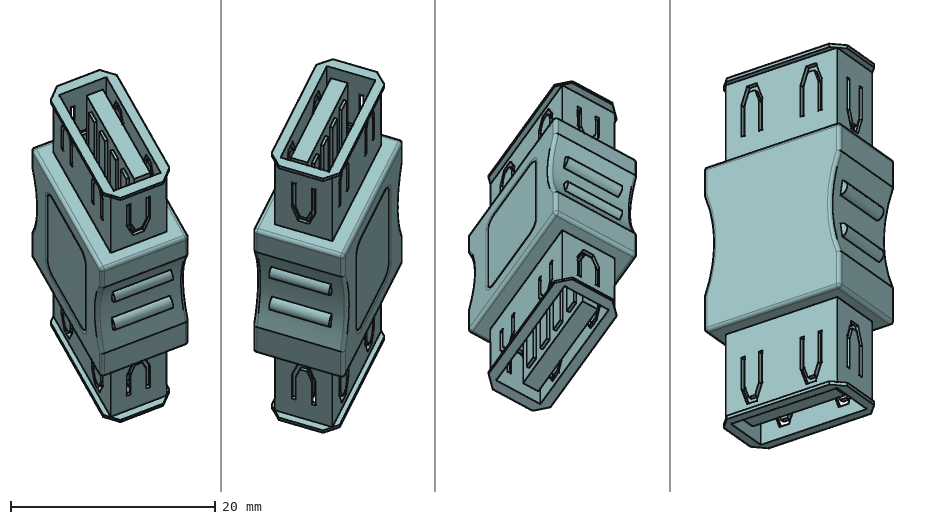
import cadquery as cq
import math

overall_length = 38.3
body_width = 16.2
body_depth = 9.55
body_length = 18.45
body_fillet = 0.4

grip_center_z = 0.42
grip_half_chord = 5.63
grip_sag = 1.07
rib_radius = 0.8
rib_tip_inset = 0.2
rib_length = 6.3
rib_spacing = 4.8

panel_width = 9.5
panel_length = 13.98
panel_corner = 1.55
panel_depth = 0.095
panel_lip = 0.35

flange_width = 14.75
flange_depth = 7.15
flange_thickness = 0.4
flange_chamfer = 1.25
shell_width = 13.3
shell_depth = 6.05
cavity_width = 12.65
cavity_depth = 5.1

tongue_width = 11.0
tongue_y_min = 0.05
tongue_y_max = 1.8
tongue_drop = 0.6
contact_count = 4
contact_pitch = 2.5
contact_width = 1.25
contact_thickness = 0.3
contact_drop = 1.9

slot_width = 2.53
slot_tip_width = 1.15
slot_leg = 0.42
slot_taper = 5.0
slot_inner_taper = 5.3
slot_length = 14.2
slot_inner_tip_width = 0.75
slot_tip_band = 1.9
front_slot_tip_drop = 1.3
front_slot_spacing = 7.05
side_slot_tip_drop = 8.35

socket_end_z = overall_length / 2
body_end_z = body_length / 2


def box(width, depth, z_min, z_max, y_center=0.0, x_center=0.0):
    """Upright block between two heights."""
    return (
        cq.Workplane("XY", origin=(x_center, y_center, z_min))
        .rect(width, depth)
        .extrude(z_max - z_min)
    )


def rounded_rectangle(width, height, radius, y):
    """Closed outline on a plane of constant Y, starting at the middle of its top side."""
    side = width / 2
    top = height / 2
    return (
        cq.Workplane("XZ", origin=(0, y, 0))
        .moveTo(0, top)
        .lineTo(side - radius, top)
        .radiusArc((side, top - radius), radius)
        .lineTo(side, radius - top)
        .radiusArc((side - radius, -top), radius)
        .lineTo(radius - side, -top)
        .radiusArc((-side, radius - top), radius)
        .lineTo(-side, top - radius)
        .radiusArc((radius - side, top), radius)
        .close()
    )


def make_body():
    """Rounded block with an arc-shaped waist on both narrow sides."""
    side = body_width / 2
    waist = side - grip_sag
    grip_top = grip_center_z + grip_half_chord
    grip_bottom = grip_center_z - grip_half_chord
    return (
        cq.Workplane("XZ")
        .moveTo(-side, -body_end_z)
        .lineTo(side, -body_end_z)
        .lineTo(side, grip_bottom)
        .threePointArc((waist, grip_center_z), (side, grip_top))
        .lineTo(side, body_end_z)
        .lineTo(-side, body_end_z)
        .lineTo(-side, grip_top)
        .threePointArc((-waist, grip_center_z), (-side, grip_bottom))
        .close()
        .extrude(body_depth / 2, both=True)
        .faces("<Y or >Y or <Z or >Z")
        .edges()
        .fillet(body_fillet)
    )


def make_ribs():
    """Two round grip ribs on each narrow side."""
    rib_x = body_width / 2 - rib_tip_inset - rib_radius
    ribs = [
        (x, grip_center_z + offset)
        for x in (-rib_x, rib_x)
        for offset in (-rib_spacing / 2, rib_spacing / 2)
    ]
    return cq.Workplane("XZ").pushPoints(ribs).circle(rib_radius).extrude(rib_length / 2, both=True)


def make_panel_recess():
    """Shallow rounded rectangle whose lip curves from the body face down to the floor."""
    face_y = -body_depth / 2
    top = panel_length / 2
    lip_radius = (panel_lip**2 + panel_depth**2) / (2 * panel_depth)
    half_angle = math.asin(panel_lip / lip_radius) / 2
    lip_middle = (
        face_y + lip_radius * (1 - math.cos(half_angle)),
        top - lip_radius * math.sin(half_angle),
    )
    path = rounded_rectangle(panel_width, panel_length, panel_corner, face_y)
    lip = (
        cq.Workplane("YZ")
        .moveTo(face_y, top)
        .threePointArc(lip_middle, (face_y + panel_depth, top - panel_lip))
        .lineTo(face_y, top - panel_lip)
        .close()
        .sweep(path)
    )
    floor = rounded_rectangle(
        panel_width - 2 * panel_lip, panel_length - 2 * panel_lip, panel_corner - panel_lip, face_y
    ).extrude(-panel_depth)
    return lip.union(floor)


def make_spring_slot(plane, center, tip_drop, toward_tip, reach):
    """U-shaped slot through two opposite walls; toward_tip is +1 (up) or -1 (down)."""
    half = slot_width / 2
    tip = slot_tip_width / 2
    inner = half - slot_leg
    inner_tip = slot_inner_tip_width / 2
    right_side = [
        (half, -slot_length),
        (half, -slot_taper),
        (tip, 0),
    ]
    inner_side = [
        (inner_tip, -slot_tip_band),
        (inner, -slot_inner_taper),
        (inner, -slot_length),
    ]
    left_side = [(-u, v) for u, v in reversed(right_side)]
    inner_left = [(-u, v) for u, v in reversed(inner_side)]
    outline = right_side + left_side + inner_left + inner_side
    tip_z = socket_end_z - tip_drop
    points = [(center + u, tip_z + toward_tip * v) for u, v in outline]
    return cq.Workplane(plane).polyline(points).close().extrude(reach, both=True)


def make_socket():
    """Flanged shell, spring slots, tongue and contacts of the upper end."""
    shell = box(shell_width, shell_depth, body_end_z, socket_end_z)
    flange = box(flange_width, flange_depth, socket_end_z - flange_thickness, socket_end_z)
    flange = flange.edges("|Z").chamfer(flange_chamfer)
    socket = shell.union(flange).cut(box(cavity_width, cavity_depth, body_end_z, socket_end_z))

    for center in (-front_slot_spacing / 2, front_slot_spacing / 2):
        socket = socket.cut(make_spring_slot("XZ", center, front_slot_tip_drop, 0.4, shell_depth))
    socket = socket.cut(make_spring_slot("YZ", 0, side_slot_tip_drop, -0.4, shell_width))

    tongue_depth = tongue_y_max - tongue_y_min
    tongue_y = (tongue_y_max + tongue_y_min) / 2
    socket = socket.union(
        box(tongue_width, tongue_depth, body_end_z, socket_end_z - tongue_drop, tongue_y)
    )
    contact_y = tongue_y_min - contact_thickness / 2
    contact_top = socket_end_z - contact_drop
    for index in range(contact_count):
        contact_x = (index - (contact_count - 1) / 2) * contact_pitch
        socket = socket.union(
            box(contact_width, contact_thickness, body_end_z, contact_top, contact_y, contact_x)
        )
    return socket


upper_socket = make_socket()
lower_socket = upper_socket.mirror("XY")

result = make_body().union(make_ribs()).cut(make_panel_recess())
result = result.union(upper_socket).union(lower_socket)